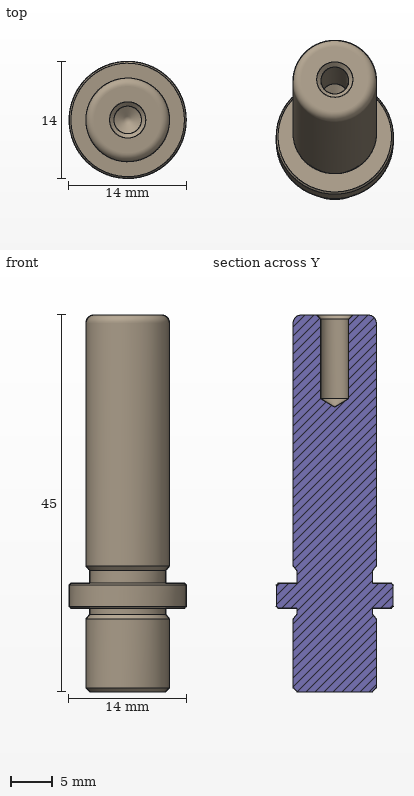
import cadquery as cq
import math

total_height = 45.0
flange_bottom = 10.0
flange_top = 13.0
lower_shoulder = 8.75
upper_shoulder = 15.05

pin_radius = 10.0 / 2
neck_radius = 9.1 / 2
flange_radius = 14.0 / 2

end_chamfer = 0.5
shoulder_height = 0.55
flange_chamfer = 0.22
top_fillet = 1.0

hole_radius = 3.3 / 2
countersink_radius = 4.3 / 2
hole_depth = 10.0
drill_point_angle = 118.0


def cylinder(radius, bottom, top):
    """Upright cylinder on the pin axis between two heights."""
    return cq.Workplane("XY").workplane(offset=bottom).circle(radius).extrude(top - bottom)


def make_lower_pin():
    """Press-fit end: chamfered at the bottom, bevelled into the neck at the top."""
    body = cylinder(pin_radius, 0, lower_shoulder + shoulder_height)
    body = body.faces("<Z").chamfer(end_chamfer)
    return body.faces(">Z").chamfer(shoulder_height, pin_radius - neck_radius)


def make_upper_pin():
    """Guide end: rounded at the top, bevelled into the neck at the bottom."""
    body = cylinder(pin_radius, upper_shoulder - shoulder_height, total_height)
    body = body.faces(">Z").edges().fillet(top_fillet)
    return body.faces("<Z").chamfer(shoulder_height, pin_radius - neck_radius)


def make_flange():
    return cylinder(flange_radius, flange_bottom, flange_top).faces("<Z or >Z").chamfer(flange_chamfer)


def make_hole():
    """Countersunk hole profile with a conical bottom, revolved about the pin axis."""
    countersink_depth = countersink_radius - hole_radius
    point_length = hole_radius / math.tan(math.radians(drill_point_angle / 2))
    hole_floor = total_height - hole_depth
    return (
        cq.Workplane("XZ")
        .moveTo(0, total_height)
        .lineTo(countersink_radius, total_height)
        .lineTo(hole_radius, total_height - countersink_depth)
        .lineTo(hole_radius, hole_floor)
        .lineTo(0, hole_floor - point_length)
        .close()
        .revolve(360, (0, 0, 0), (0, 1, 0))
    )


neck = cylinder(neck_radius, lower_shoulder, upper_shoulder)
result = neck.union(make_lower_pin()).union(make_upper_pin()).union(make_flange()).cut(make_hole())